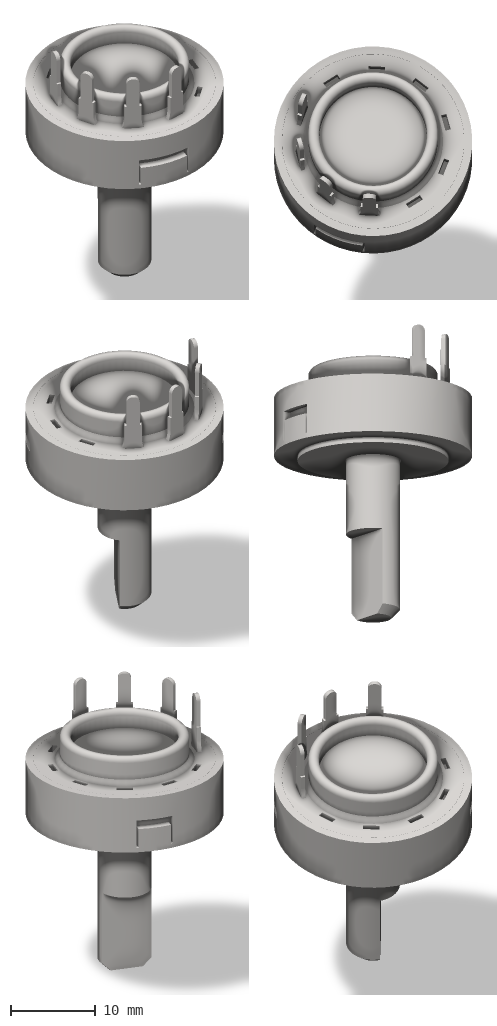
import cadquery as cq
import math


SHELL_DIAMETER = 23.35
SHELL_BORE = 21.5
SHELL_HEIGHT = 7.0
FLOOR_Z = 0.57
FLANGE_DIAMETER = 17.8
FLANGE_HEIGHT = 0.6
SHAFT_HOLE = 6.55

SNAP_ARMS = [(-36, 6.42), (144, 4.53)]
ARM_SLIT = 0.27
ARM_TOP_Z = 2.98
WINDOW_TOP_Z = 4.1

BASE_DIAMETER = 21.47
RING_DIAMETER = 15.25
RING_TOP_Z = 10.38
RING_FOOT = 0.6
RECESS_DIAMETER = 12.7
RECESS_FLOOR_Z = 8.08

POSITION_COUNT = 10
POSITION_STEP = 360 / POSITION_COUNT
POSITION_RADIUS = 8.9
FIRST_POSITION_ANGLE = -90
TERMINAL_POSITIONS = [0, 1, 2, 9]
EMPTY_POSITIONS = [n for n in range(POSITION_COUNT) if n not in TERMINAL_POSITIONS]
SLOT_WIDTH = 1.95
SLOT_THICKNESS = 0.65
SLOT_DEPTH = 1.0

TERMINAL_THICKNESS = 0.5
TERMINAL_TOP_Z = 14.1
BLADE_WIDTH = 1.55
BLADE_TIP_FILLET = 0.7
SHOULDER_Z = 10.18
SHOULDER_WIDTH = 2.03
FLARE_Z = 8.35
FOOT_WIDTH = 2.57
FOOT_GAP = 0.1

SHAFT_DIAMETER = 6.35
SHAFT_END_Z = -19.7
SHAFT_CHAMFER = 1.0
FLAT_TOP_Z = -9.57
FLAT_ANGLE = 144
FLAT_DISTANCE = 0.88


def radial_box(length, width, bottom_z, top_z, angle):
    """Box that reaches from the Z axis outward in the direction of angle."""
    box = cq.Workplane("XY").box(length, width, top_z - bottom_z, centered=(False, True, False))
    return box.translate((0, 0, bottom_z)).rotate((0, 0, 0), (0, 0, 1), angle)


def at_position(body, number):
    """Turn a body made on the +X axis to one of the numbered terminal positions."""
    angle = FIRST_POSITION_ANGLE + number * POSITION_STEP
    return body.rotate((0, 0, 0), (0, 0, 1), angle)


def make_shell():
    """Cup with a flange below, a shaft hole and two snap arms in its wall."""
    shell = cq.Workplane("XY").circle(SHELL_DIAMETER / 2).extrude(SHELL_HEIGHT)
    flange = cq.Workplane("XY").circle(FLANGE_DIAMETER / 2).extrude(-FLANGE_HEIGHT)
    cavity = cq.Workplane("XY", origin=(0, 0, FLOOR_Z)).circle(SHELL_BORE / 2).extrude(SHELL_HEIGHT)
    shaft_hole = (
        cq.Workplane("XY", origin=(0, 0, -FLANGE_HEIGHT))
        .circle(SHAFT_HOLE / 2)
        .extrude(FLANGE_HEIGHT + FLOOR_Z)
    )
    shell = shell.union(flange).cut(cavity).cut(shaft_hole)
    for angle, width in SNAP_ARMS:
        opening = radial_box(SHELL_DIAMETER, width, FLOOR_Z, WINDOW_TOP_Z, angle)
        arm = radial_box(SHELL_DIAMETER, width - 2 * ARM_SLIT, FLOOR_Z, ARM_TOP_Z, angle)
        shell = shell.cut(opening.cut(arm))
    return shell


def make_terminal():
    """Flat blade on the +X axis: rounded tip, shoulders, flared foot and a tongue for the slot."""
    foot_z = SHELL_HEIGHT + FOOT_GAP
    tongue_z = SHELL_HEIGHT - SLOT_DEPTH
    flare_offset = (FOOT_WIDTH - SHOULDER_WIDTH) / 2
    half_terminal = (
        cq.Workplane("YZ", origin=(POSITION_RADIUS - TERMINAL_THICKNESS / 2, 0, 0))
        .moveTo(0, TERMINAL_TOP_Z)
        .lineTo(BLADE_WIDTH / 2 - BLADE_TIP_FILLET, TERMINAL_TOP_Z)
        .tangentArcPoint((BLADE_TIP_FILLET, -BLADE_TIP_FILLET))
        .lineTo(BLADE_WIDTH / 2, SHOULDER_Z)
        .lineTo(SHOULDER_WIDTH / 2, SHOULDER_Z)
        .lineTo(SHOULDER_WIDTH / 2, FLARE_Z)
        .tangentArcPoint((flare_offset, foot_z - FLARE_Z))
        .lineTo(SLOT_WIDTH / 2, foot_z)
        .lineTo(SLOT_WIDTH / 2, tongue_z)
        .lineTo(0, tongue_z)
        .close()
        .extrude(TERMINAL_THICKNESS)
    )
    return half_terminal.union(half_terminal.mirror("XZ"))


def make_base(terminals):
    """Turned base with a round-topped ring, empty slots and slots that fit the terminals."""
    base_radius = BASE_DIAMETER / 2
    ring_radius = RING_DIAMETER / 2
    recess_radius = RECESS_DIAMETER / 2
    crown_radius = (ring_radius - recess_radius) / 2
    base = (
        cq.Workplane("XZ")
        .moveTo(0, FLOOR_Z)
        .lineTo(base_radius, FLOOR_Z)
        .lineTo(base_radius, SHELL_HEIGHT)
        .lineTo(ring_radius + RING_FOOT, SHELL_HEIGHT)
        .lineTo(ring_radius, SHELL_HEIGHT + RING_FOOT)
        .lineTo(ring_radius, RING_TOP_Z - crown_radius)
        .threePointArc(
            (recess_radius + crown_radius, RING_TOP_Z),
            (recess_radius, RING_TOP_Z - crown_radius),
        )
        .lineTo(recess_radius, RECESS_FLOOR_Z)
        .lineTo(0, RECESS_FLOOR_Z)
        .close()
        .revolve(360, (0, 0, 0), (0, 1, 0))
    )
    slot = (
        cq.Workplane("XY", origin=(POSITION_RADIUS, 0, SHELL_HEIGHT))
        .rect(SLOT_THICKNESS, SLOT_WIDTH)
        .extrude(-SLOT_DEPTH)
    )
    for number in EMPTY_POSITIONS:
        base = base.cut(at_position(slot, number))
    for terminal in terminals:
        base = base.cut(terminal)
    return base


def make_shaft():
    """Round shaft with a chamfered end and a flat along its lower part."""
    shaft = (
        cq.Workplane("XY", origin=(0, 0, SHAFT_END_Z))
        .circle(SHAFT_DIAMETER / 2)
        .extrude(FLOOR_Z - SHAFT_END_Z)
        .faces("<Z")
        .chamfer(SHAFT_CHAMFER)
    )
    beside_flat = radial_box(SHAFT_DIAMETER, SHAFT_DIAMETER, SHAFT_END_Z, FLAT_TOP_Z, FLAT_ANGLE)
    flat_angle = math.radians(FLAT_ANGLE)
    flat_shift = (FLAT_DISTANCE * math.cos(flat_angle), FLAT_DISTANCE * math.sin(flat_angle), 0)
    return shaft.cut(beside_flat.translate(flat_shift))


shell = make_shell()
terminals = [at_position(make_terminal(), number) for number in TERMINAL_POSITIONS]
base = make_base(terminals)
shaft = make_shaft()

result = cq.Compound.makeCompound(
    [shell.val(), base.val(), shaft.val(), *[terminal.val() for terminal in terminals]]
)